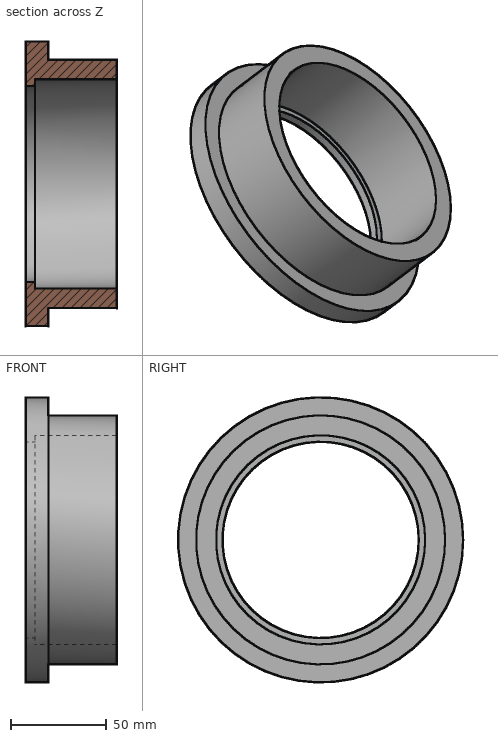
import cadquery as cq

total_length = 48.0
flange_diameter = 150.0
flange_thickness = 12.0
sleeve_diameter = 131.0
lip_bore_diameter = 103.0
lip_length = 5.0
main_bore_diameter = 110.0


def cylinder(diameter, start, end):
    """Cylinder along X between two axial positions."""
    return cq.Workplane("YZ").workplane(offset=start).circle(diameter / 2).extrude(end - start)


flange = cylinder(flange_diameter, 0, flange_thickness)
sleeve = cylinder(sleeve_diameter, 0, total_length)

lip_bore = cylinder(lip_bore_diameter, 0, lip_length)
main_bore = cylinder(main_bore_diameter, lip_length, total_length)

result = flange.union(sleeve).cut(lip_bore).cut(main_bore)